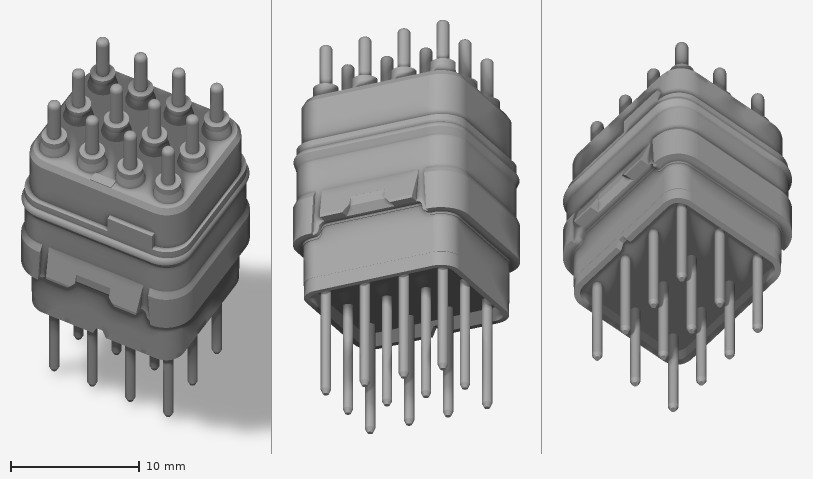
import cadquery as cq

Z_BODY_BOTTOM = 8.13
Z_RIM_TOP = 9.3
Z_SKIRT_BOTTOM = 12.7
Z_ARCH_TOP = 13.7
Z_LATCH_EDGE = 13.95
Z_FLANGE_SHOULDER = 15.85
Z_FLANGE_TOP = 16.45
Z_BEAD_BOTTOM = 19.15
Z_BEAD_CREST = 19.75
Z_COLLAR_TOP = 20.92
Z_KEY_TOP = 22.35
Z_BODY_TOP = 25.07
Z_SLEEVE_NECK = 25.85
Z_SLEEVE_TOP = 26.43
Z_PIN_TOP = 30.1

LOWER = (13.3, 11.6, 1.47)
RIM = (13.3, 11.55, 1.57)
ROOT = (13.48, 11.75, 1.57)
COLLAR = (14.5, 12.65, 2.15)
FLANGE = (15.0, 13.3, 2.4)
BEAD = (14.8, 13.3, 2.3)
UPPER = (14.03, 11.83, 2.1)

TOP_BEVEL_HEIGHT = 0.48
TOP_BEVEL_INSET = 0.3
BEAD_TOP_HEIGHT = 0.55
BEAD_TOP_ROUND = 0.5

COLUMNS, ROWS = 4, 3
COLUMN_SPAN = 10.17
PITCH_X = COLUMN_SPAN / (COLUMNS - 1)
PITCH_Y = 3.88
UPPER_PIN_RADIUS = 0.5
UPPER_TIP_ROUND = 0.35
LOWER_PIN_RADIUS = 0.8 / 2
LOWER_TIP_RADIUS = 0.225
LOWER_TIP_HEIGHT = 0.4
SLEEVE_BASE_RADIUS = 1.2
SLEEVE_NECK_RADIUS = 1.0

ARCH_TOP_HALF = 4.0
ARCH_ARC = (Z_ARCH_TOP - Z_SKIRT_BOTTOM) / 2
ROOT_DROP = 0.18
WINDOW_TOP_HALF = 4.8
WINDOW_BOTTOM_HALF = ARCH_TOP_HALF + 2 * ARCH_ARC
WEDGE_TOP_HALF = 4.2
WEDGE_BOTTOM_HALF = ARCH_TOP_HALF
WEDGE_REACH = 14.25 / 2

RECESS_TOP = 15.1
RECESS_BEND = 14.33
RECESS_HALF = 3.05 / 2
RECESS_MOUTH_HALF = 2.08
RECESS_WALL_Y = 6.75

KEY_X_START, KEY_X_END = 1.02, 5.0
PAD_WIDTH, PAD_HEIGHT = 1.87, 0.1
PAD_BACK_Y = -4.8
RIM_WALL = 0.48
NOTCH_HEIGHT = 0.7
NOTCH_BOTTOM_HALF = 0.57
NOTCH_TOP_HALF = 0.27

FAR = 12.05


def rounded_rectangle(section):
    width, depth, radius = section
    return cq.Sketch().rect(width, depth).vertices().fillet(radius)


def block(section, z_bottom, z_top):
    plane = cq.Workplane("XY").workplane(offset=z_bottom)
    return plane.placeSketch(rounded_rectangle(section)).extrude(z_top - z_bottom)


def taper(section_bottom, z_bottom, section_top, z_top):
    lift = cq.Location(cq.Vector(0, 0, z_top - z_bottom))
    bottom = rounded_rectangle(section_bottom)
    top = rounded_rectangle(section_top).moved(lift)
    plane = cq.Workplane("XY").workplane(offset=z_bottom)
    return plane.placeSketch(bottom, top).loft(ruled=True)


def through_y(profile):
    """Extrude an XZ profile through both long sides."""
    return profile.extrude(FAR, both=True)


def trapezoid(half_bottom, z_bottom, half_top, z_top):
    return (
        cq.Workplane("XZ")
        .moveTo(-half_bottom, z_bottom)
        .lineTo(half_bottom, z_bottom)
        .lineTo(half_top, z_top)
        .lineTo(-half_top, z_top)
        .close()
    )


def arch(drop):
    """Opening under the latch: flat top joined to the skirt edge by two S-curves."""
    z_top = Z_ARCH_TOP - drop
    z_low = Z_SKIRT_BOTTOM - drop
    z_mid = z_top - ARCH_ARC
    x_in = ARCH_TOP_HALF
    x_mid = x_in + ARCH_ARC
    x_out = x_mid + ARCH_ARC
    return through_y(
        cq.Workplane("XZ")
        .moveTo(-x_out, z_low)
        .radiusArc((-x_mid, z_mid), -ARCH_ARC)
        .radiusArc((-x_in, z_top), ARCH_ARC)
        .lineTo(x_in, z_top)
        .radiusArc((x_mid, z_mid), ARCH_ARC)
        .radiusArc((x_out, z_low), -ARCH_ARC)
        .close()
    )


def skirt():
    """Collar and flange, opened on the long sides around each latch."""
    flange = block(FLANGE, Z_SKIRT_BOTTOM, Z_FLANGE_SHOULDER)
    flange = flange.union(taper(FLANGE, Z_FLANGE_SHOULDER, COLLAR, Z_FLANGE_TOP))
    window = trapezoid(WINDOW_BOTTOM_HALF, Z_SKIRT_BOTTOM, WINDOW_TOP_HALF, Z_FLANGE_TOP)
    flange = flange.cut(through_y(window))
    collar = block(COLLAR, Z_SKIRT_BOTTOM, Z_COLLAR_TOP)
    return collar.union(flange).cut(arch(0))


def root():
    """Narrow step where the lower body meets the underside of the skirt."""
    return block(ROOT, Z_SKIRT_BOTTOM - ROOT_DROP, Z_COLLAR_TOP).cut(arch(ROOT_DROP))


def bead():
    """Sealing bead: rounded above its crest, tapered below."""
    crown = block(BEAD, Z_BEAD_CREST, Z_BEAD_CREST + BEAD_TOP_HEIGHT)
    crown = crown.faces(">Z").edges().fillet(BEAD_TOP_ROUND)
    return crown.union(taper(COLLAR, Z_BEAD_BOTTOM, BEAD, Z_BEAD_CREST))


def upper_body():
    body = block(UPPER, Z_FLANGE_TOP, Z_BODY_TOP)
    return body.faces(">Z").edges().chamfer(TOP_BEVEL_HEIGHT, TOP_BEVEL_INSET)


def front_wedge():
    """Latch wedge on the -Y side with its pry recess."""
    inner_y = LOWER[1] / 2
    wedge = (
        cq.Workplane("YZ")
        .moveTo(-COLLAR[1] / 2, Z_FLANGE_TOP)
        .lineTo(-WEDGE_REACH, Z_LATCH_EDGE)
        .lineTo(-WEDGE_REACH, Z_ARCH_TOP)
        .lineTo(-inner_y, Z_ARCH_TOP)
        .lineTo(-inner_y, Z_FLANGE_TOP)
        .close()
        .extrude(WEDGE_TOP_HALF, both=True)
    )
    sides = trapezoid(WEDGE_BOTTOM_HALF, Z_ARCH_TOP, WEDGE_TOP_HALF, Z_FLANGE_TOP)
    wedge = wedge.intersect(through_y(sides))

    mouth = trapezoid(RECESS_MOUTH_HALF, Z_ARCH_TOP, RECESS_HALF, RECESS_BEND)
    straight = trapezoid(RECESS_HALF, RECESS_BEND, RECESS_HALF, RECESS_TOP)
    recess_outline = through_y(mouth).union(through_y(straight))
    recess_depth = (
        cq.Workplane("YZ")
        .moveTo(-RECESS_WALL_Y, RECESS_TOP)
        .lineTo(-RECESS_WALL_Y, RECESS_BEND)
        .lineTo(-COLLAR[1] / 2, Z_ARCH_TOP)
        .lineTo(-FAR, Z_ARCH_TOP)
        .lineTo(-FAR, RECESS_TOP)
        .close()
        .extrude(RECESS_MOUTH_HALF, both=True)
    )
    return wedge.cut(recess_outline.intersect(recess_depth))


def key():
    """Keying block above the collar, flush with its -Y face."""
    width = KEY_X_END - KEY_X_START
    depth = COLLAR[1] / 2
    height = Z_KEY_TOP - Z_BEAD_CREST
    block_at_origin = cq.Workplane("XY").box(width, depth, height, centered=False)
    return block_at_origin.translate((KEY_X_START, -depth, Z_BEAD_CREST))


def marker_pad():
    """Thin raised pad at the -Y edge of the top face."""
    depth = UPPER[1] / 2 - TOP_BEVEL_INSET + PAD_BACK_Y
    pad = cq.Workplane("XY").box(PAD_WIDTH, depth, 2 * PAD_HEIGHT)
    return pad.translate((0, PAD_BACK_Y - depth / 2, Z_BODY_TOP))


def bottom_cavity():
    width, depth, radius = RIM
    inside = (width - 2 * RIM_WALL, depth - 2 * RIM_WALL, radius - RIM_WALL)
    return block(inside, Z_BODY_BOTTOM, Z_RIM_TOP)


def rim_notch():
    """Tapered notch through the -Y wall of the rim."""
    z_top = Z_BODY_BOTTOM + NOTCH_HEIGHT
    return trapezoid(NOTCH_BOTTOM_HALF, Z_BODY_BOTTOM, NOTCH_TOP_HALF, z_top).extrude(FAR)


def pin():
    """Turned contact with its sleeve, standing on the Z axis."""
    tip_flat = UPPER_PIN_RADIUS - UPPER_TIP_ROUND
    return (
        cq.Workplane("XZ")
        .moveTo(0, 0)
        .lineTo(LOWER_TIP_RADIUS, 0)
        .lineTo(LOWER_PIN_RADIUS, LOWER_TIP_HEIGHT)
        .lineTo(LOWER_PIN_RADIUS, Z_SKIRT_BOTTOM)
        .lineTo(SLEEVE_BASE_RADIUS, Z_SKIRT_BOTTOM)
        .lineTo(SLEEVE_BASE_RADIUS, Z_BODY_TOP)
        .lineTo(SLEEVE_NECK_RADIUS, Z_SLEEVE_NECK)
        .lineTo(SLEEVE_NECK_RADIUS, Z_SLEEVE_TOP)
        .lineTo(UPPER_PIN_RADIUS, Z_SLEEVE_TOP)
        .lineTo(UPPER_PIN_RADIUS, Z_PIN_TOP - UPPER_TIP_ROUND)
        .radiusArc((tip_flat, Z_PIN_TOP), -UPPER_TIP_ROUND)
        .lineTo(0, Z_PIN_TOP)
        .close()
        .revolve(360, (0, 0, 0), (0, 1, 0))
    )


wedge = front_wedge()
body = (
    block(RIM, Z_BODY_BOTTOM, Z_RIM_TOP)
    .union(block(LOWER, Z_RIM_TOP, Z_COLLAR_TOP))
    .union(root())
    .union(skirt())
    .union(bead())
    .union(upper_body())
    .union(key())
    .union(marker_pad())
    .union(wedge)
    .union(wedge.mirror("XZ"))
    .cut(bottom_cavity())
    .cut(rim_notch())
)

one_pin = pin()
for column in range(COLUMNS):
    for row in range(ROWS):
        x = (column - (COLUMNS - 1) / 2) * PITCH_X
        y = (row - (ROWS - 1) / 2) * PITCH_Y
        body = body.union(one_pin.translate((x, y, 0)))

result = body